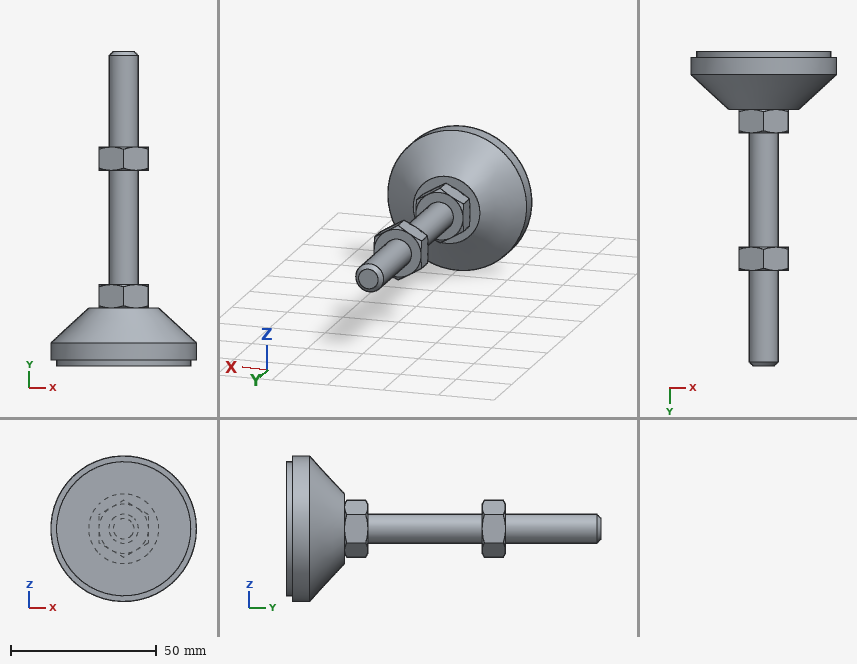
import cadquery as cq
import math

length = 108.0

pad_diameter = 46.0
pad_height = 2.0
rim_diameter = 50.0
rim_height = 5.9
cone_top_diameter = 24.0
foot_height = 20.0

stud_diameter = 10.0
stud_chamfer = 1.5

nut_across_flats = 17.0
nut_height = 8.0
nut_face_diameter = 17.0
nut_chamfer_angle = 30.0
lock_nut_position = 67.2


def revolve_profile(points):
    """Revolve (radius, y) points about the Y axis."""
    return cq.Workplane("XY").polyline(points).close().revolve(360, (0, 0), (0, 1))


def make_foot():
    pad_radius = pad_diameter / 2
    rim_radius = rim_diameter / 2
    rim_top = pad_height + rim_height
    return revolve_profile([
        (0, 0),
        (pad_radius, 0),
        (pad_radius, pad_height),
        (rim_radius, pad_height),
        (rim_radius, rim_top),
        (cone_top_diameter / 2, foot_height),
        (0, foot_height),
    ])


def make_stud():
    radius = stud_diameter / 2
    return revolve_profile([
        (0, foot_height),
        (radius, foot_height),
        (radius, length - stud_chamfer),
        (radius - stud_chamfer, length),
        (0, length),
    ])


def make_nut(start):
    """Hexagon nut with both ends coned off at the corners, rising from y = start."""
    end = start + nut_height
    across_corners = nut_across_flats / math.cos(math.radians(30))
    corner_radius = across_corners / 2
    face_radius = nut_face_diameter / 2
    corner_drop = (corner_radius - face_radius) * math.tan(math.radians(nut_chamfer_angle))
    hexagon = (
        cq.Workplane("XZ", origin=(0, start, 0))
        .transformed(rotate=(0, 0, 90))
        .polygon(6, across_corners)
        .extrude(-nut_height)
    )
    envelope = revolve_profile([
        (0, start),
        (face_radius, start),
        (corner_radius, start + corner_drop),
        (corner_radius, end - corner_drop),
        (face_radius, end),
        (0, end),
    ])
    return hexagon.intersect(envelope)


result = make_foot().union(make_stud())
for nut_start in (foot_height, lock_nut_position):
    result = result.union(make_nut(nut_start))